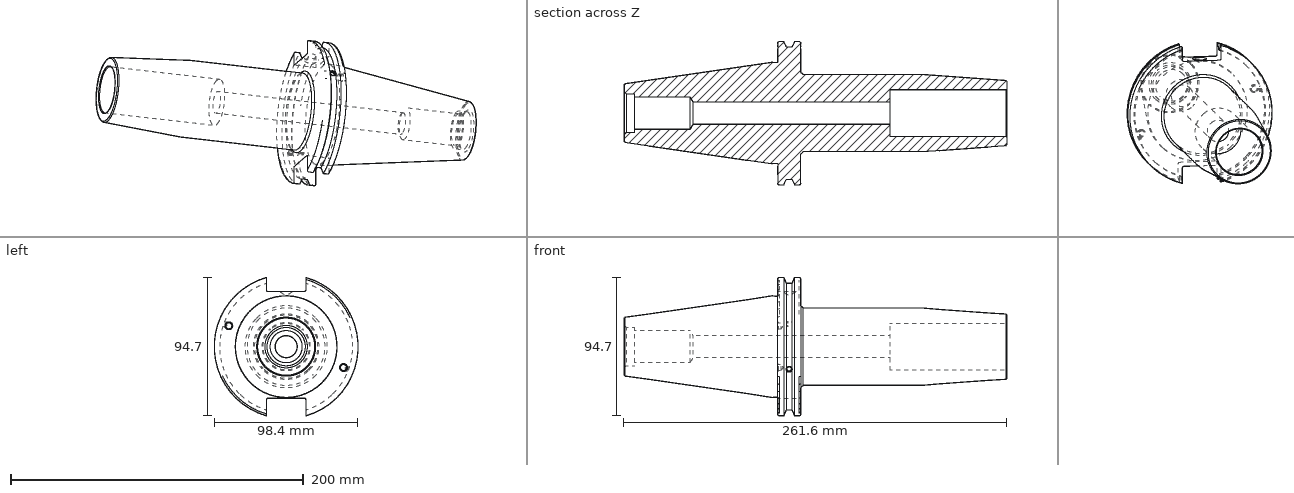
import cadquery as cq
import math

TAPER_LENGTH = 101.6
NOSE_REACH = 160.0
TAPER_RATIO = 7 / 24
GAUGE_DIA = 69.85
TAPER_TIP_CHAMFER = 0.6

NECK_DIA = 69.25
TAPER_END = -0.6
NECK_START = 1.2

FLANGE_DIA = 98.425
FLANGE_START = 3.18
FLANGE_END = 19.05
FLANGE_ROUNDING = 1.3
GROOVE_CENTER = 11.11
GROOVE_FLOOR_DIA = 90.8
GROOVE_FLOOR_WIDTH = 3.9
GROOVE_HALF_ANGLE = 24.0

BODY_DIA = 53.0
BODY_CHAMFER = 1.6
BODY_END = 102.5
NOSE_DIA = 44.8
NOSE_CHAMFER = 0.8

SLOT_WIDTH = 26.85
SLOT_CORNER_RADIUS = 1.0
UPPER_SLOT_HEIGHT = 37.7
LOWER_SLOT_HEIGHT = 35.3

DIMPLE_DIA = 9.53
DRILL_POINT_ANGLE = 118.0

DRAW_MOUTH_DIA = 29.0
DRAW_RELIEF_DIA = 26.2
DRAW_RELIEF_DEPTH = 7.0
DRAW_BORE_DIA = 21.97
DRAW_BORE_DEPTH = 45.0
THROUGH_DIA = 14.92
TOOL_BORE_DIA = 31.75
TOOL_MOUTH_DIA = 32.95
TOOL_BORE_DEPTH = 80.0

COOLANT_ANGLE = 20.0
COOLANT_RADIUS = 41.7
INLET_DIA = 4.13
INLET_MOUTH_DIA = 5.4
INLET_DEPTH = 2.5
OUTLET_DIA = 3.24
OUTLET_MOUTH_DIA = 4.2
OUTLET_DEPTH = 1.5


def drill_point_length(drop):
    """Axial length of a drill-point cone whose radius falls by drop."""
    return drop / math.tan(math.radians(DRILL_POINT_ANGLE / 2))


def turned_body():
    """Revolve the outside profile about the X axis."""
    gauge_r = GAUGE_DIA / 2
    neck_r = NECK_DIA / 2
    flange_r = FLANGE_DIA / 2
    floor_r = GROOVE_FLOOR_DIA / 2
    body_r = BODY_DIA / 2
    nose_r = NOSE_DIA / 2
    end_r = gauge_r - TAPER_LENGTH * TAPER_RATIO / 2
    floor_half = GROOVE_FLOOR_WIDTH / 2
    wall_run = (flange_r - floor_r) * math.tan(math.radians(GROOVE_HALF_ANGLE))
    mouth_half = floor_half + wall_run
    rounding_mid = FLANGE_ROUNDING * (1 - math.sqrt(0.5))

    profile = (
        cq.Workplane("XY")
        .moveTo(-TAPER_LENGTH, 0)
        .lineTo(-TAPER_LENGTH, end_r - TAPER_TIP_CHAMFER)
        .lineTo(-TAPER_LENGTH + TAPER_TIP_CHAMFER, end_r + TAPER_TIP_CHAMFER * TAPER_RATIO / 2)
        .lineTo(TAPER_END, gauge_r + TAPER_END * TAPER_RATIO / 2)
        .lineTo(NECK_START, neck_r)
        .lineTo(FLANGE_START, neck_r)
        .lineTo(FLANGE_START, flange_r - FLANGE_ROUNDING)
        .threePointArc(
            (FLANGE_START + rounding_mid, flange_r - rounding_mid),
            (FLANGE_START + FLANGE_ROUNDING, flange_r),
        )
        .lineTo(GROOVE_CENTER - mouth_half, flange_r)
        .lineTo(GROOVE_CENTER - floor_half, floor_r)
        .lineTo(GROOVE_CENTER + floor_half, floor_r)
        .lineTo(GROOVE_CENTER + mouth_half, flange_r)
        .lineTo(FLANGE_END - FLANGE_ROUNDING, flange_r)
        .threePointArc(
            (FLANGE_END - rounding_mid, flange_r - rounding_mid),
            (FLANGE_END, flange_r - FLANGE_ROUNDING),
        )
        .lineTo(FLANGE_END, body_r + BODY_CHAMFER)
        .lineTo(FLANGE_END + BODY_CHAMFER, body_r)
        .lineTo(BODY_END, body_r)
        .lineTo(NOSE_REACH - NOSE_CHAMFER, nose_r)
        .lineTo(NOSE_REACH, nose_r - NOSE_CHAMFER)
        .lineTo(NOSE_REACH, 0)
        .close()
    )
    return profile.revolve(360, (0, 0, 0), (1, 0, 0))


def bores():
    """Stepped central bore: draw bar end, through hole and tool socket."""
    mouth_step = (DRAW_MOUTH_DIA - DRAW_RELIEF_DIA) / 2
    tool_step = (TOOL_MOUTH_DIA - TOOL_BORE_DIA) / 2
    relief_end = -TAPER_LENGTH + DRAW_RELIEF_DEPTH
    draw_end = -TAPER_LENGTH + DRAW_BORE_DEPTH
    point = drill_point_length((DRAW_BORE_DIA - THROUGH_DIA) / 2)
    tool_start = NOSE_REACH - TOOL_BORE_DEPTH
    outline = [
        (-TAPER_LENGTH, 0),
        (-TAPER_LENGTH, DRAW_MOUTH_DIA / 2),
        (-TAPER_LENGTH + mouth_step, DRAW_RELIEF_DIA / 2),
        (relief_end, DRAW_RELIEF_DIA / 2),
        (relief_end, DRAW_BORE_DIA / 2),
        (draw_end, DRAW_BORE_DIA / 2),
        (draw_end + point, THROUGH_DIA / 2),
        (tool_start, THROUGH_DIA / 2),
        (tool_start, TOOL_BORE_DIA / 2),
        (NOSE_REACH - tool_step, TOOL_BORE_DIA / 2),
        (NOSE_REACH, TOOL_MOUTH_DIA / 2),
        (NOSE_REACH, 0),
    ]
    return cq.Workplane("XZ").polyline(outline).close().revolve(360, (0, 0, 0), (1, 0, 0))


def drive_slot(floor_height, side):
    """Slot through the flange; side is +1 above the axis and -1 below it."""
    height = FLANGE_DIA / 2
    block = cq.Workplane("XY").box(FLANGE_END - FLANGE_START, SLOT_WIDTH, height)
    block = block.edges("|X").edges("<Z" if side > 0 else ">Z").fillet(SLOT_CORNER_RADIUS)
    center_x = (FLANGE_START + FLANGE_END) / 2
    return block.translate((center_x, 0, side * (floor_height + height / 2)))


def dimple():
    """Conical drill dimple in the floor of the upper slot."""
    radius = DIMPLE_DIA / 2
    start = cq.Vector(GROOVE_CENTER, 0, UPPER_SLOT_HEIGHT)
    cone = cq.Solid.makeCone(radius, 0, drill_point_length(radius), start, cq.Vector(0, 0, -1))
    return cq.Workplane(cone)


def drilled_hole(start, direction, dia, mouth_dia, depth):
    """Blind hole with a 45 degree mouth chamfer and a drill-point bottom."""
    radius = dia / 2
    mouth_step = (mouth_dia - dia) / 2
    barrel = cq.Solid.makeCylinder(radius, depth, start, direction)
    mouth = cq.Solid.makeCone(mouth_dia / 2, radius, mouth_step, start, direction)
    point = cq.Solid.makeCone(radius, 0, drill_point_length(radius), start + direction * depth, direction)
    return cq.Workplane(barrel).union(cq.Workplane(mouth)).union(cq.Workplane(point))


def coolant_ports():
    """Blind inlet in the flange face and blind outlet in the groove floor, both on the +Y side."""
    inlet_start = cq.Vector(FLANGE_START, COOLANT_RADIUS, 0)
    outlet_start = cq.Vector(GROOVE_CENTER, GROOVE_FLOOR_DIA / 2, 0)
    inlet = drilled_hole(inlet_start, cq.Vector(1, 0, 0), INLET_DIA, INLET_MOUTH_DIA, INLET_DEPTH)
    outlet = drilled_hole(outlet_start, cq.Vector(0, -1, 0), OUTLET_DIA, OUTLET_MOUTH_DIA, OUTLET_DEPTH)
    return inlet.union(outlet)


result = turned_body().cut(bores())
result = result.cut(drive_slot(UPPER_SLOT_HEIGHT, 1)).cut(drive_slot(LOWER_SLOT_HEIGHT, -1))
result = result.cut(dimple())
for half_turn in (0, 180):
    result = result.cut(coolant_ports().rotate((0, 0, 0), (1, 0, 0), COOLANT_ANGLE + half_turn))